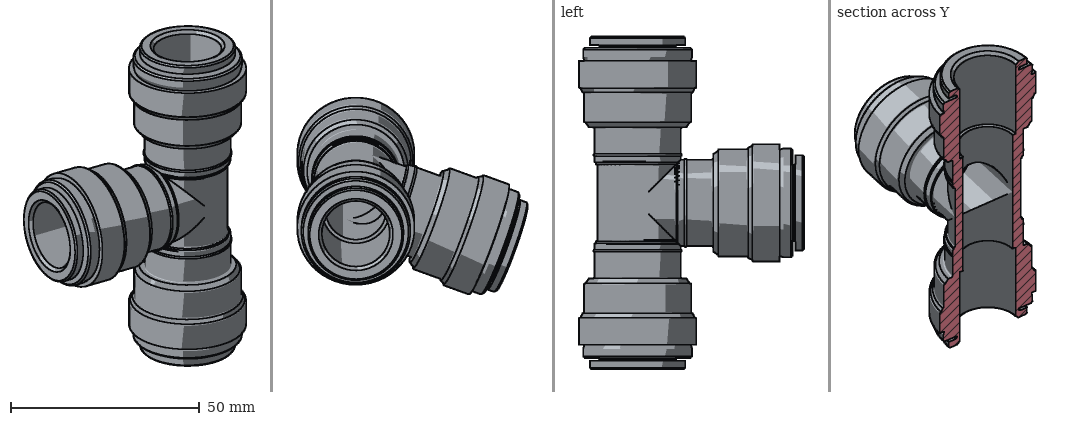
import math

import cadquery as cq

REACH = 44.1

FLANGE_RADIUS = 25.3 / 2
FLANGE_THICKNESS = 2.3
FLANGE_CHAMFER = 0.45
COLLAR_NECK_RADIUS = 20.8 / 2
COLLAR_ROOT_RADIUS = 20.07 / 2
COLLAR_CONE_END = 2.7

CAP_RADIUS = 28.9 / 2
CAP_START = 3.0
CAP_END = 5.45
CAP_CHAMFER = 0.5
GROOVE_RADIUS = 28.3 / 2

BAND_RADIUS = 31.1 / 2
BAND_START = 6.5
BAND_END = 13.7
BARREL_RADIUS = 28.5 / 2
BARREL_START = 15.2
BARREL_END = 22.75
NECK_RADIUS = 22.9 / 2
NECK_START = 24.5

BEAD_RADIUS = 23.4 / 2
BEAD_START = 31.1
BEAD_END = 31.7
NECK_END = 33.4
PIPE_RADIUS = 21.3 / 2
PIPE_START = 34.3

EDGE_ROUND = 0.3
EDGE_LEDGE = 0.1
FOOT_FILLET = 0.38
CONE_ANGLE = 35.0

BORE_RADIUS = 16.0 / 2
TUBE_RADIUS = 18.0 / 2
TUBE_DEPTH = NECK_START
MOUTH_RADIUS = 19.7 / 2
MOUTH_DEPTH = MOUTH_RADIUS - TUBE_RADIUS

DIRECTIONS = [(0, 0, 1), (0, 0, -1), (0, -1, 0)]


def socket_section(direction):
    """Sketch plane through a socket axis: x is the radius, y points outward, origin on the end face."""
    outward = cq.Vector(*direction)
    sideways = cq.Vector(1, 0, 0)
    plane = cq.Plane(origin=outward * REACH, xDir=sideways, normal=sideways.cross(outward))
    return cq.Workplane(plane)


def revolve_section(section):
    """Close a socket section and turn it about the socket axis."""
    return section.close().revolve(360, (0, 0), (0, 1))


def add_lines(section, points):
    """Continue a section through straight (radius, depth) points."""
    for radius, depth in points:
        section = section.lineTo(radius, -depth)
    return section


def add_step(section, radius, end, foot_radius, foot_start):
    """Step down to a smaller radius: rounded edge, narrow ledge, cone, flat shoulder and filleted foot."""
    bulge = 1 - math.sqrt(0.5)
    edge_radius = radius - EDGE_ROUND
    shoulder_radius = foot_radius + FOOT_FILLET
    shoulder_depth = foot_start - FOOT_FILLET
    cone_start = edge_radius - EDGE_LEDGE
    cone_drop = (shoulder_depth - end) * math.tan(math.radians(CONE_ANGLE))
    cone_radius = max(shoulder_radius, cone_start - cone_drop)

    section = section.lineTo(radius, EDGE_ROUND - end)
    section = section.threePointArc(
        (radius - bulge * EDGE_ROUND, bulge * EDGE_ROUND - end),
        (edge_radius, -end),
    )
    section = section.lineTo(cone_start, -end)
    section = section.lineTo(cone_radius, -shoulder_depth)
    if cone_radius > shoulder_radius:
        section = section.lineTo(shoulder_radius, -shoulder_depth)
    return section.threePointArc(
        (foot_radius + bulge * FOOT_FILLET, -shoulder_depth - bulge * FOOT_FILLET),
        (foot_radius, -foot_start),
    )


def add_bead(section):
    """Half-round bead standing on the neck."""
    section = section.lineTo(NECK_RADIUS, -BEAD_START)
    return section.threePointArc(
        (BEAD_RADIUS, -(BEAD_START + BEAD_END) / 2),
        (NECK_RADIUS, -BEAD_END),
    )


def socket_outside(direction):
    """Solid socket from the end face down to the tee centre."""
    collar_and_cap = [
        (FLANGE_RADIUS - FLANGE_CHAMFER, 0),
        (FLANGE_RADIUS, FLANGE_CHAMFER),
        (FLANGE_RADIUS, FLANGE_THICKNESS),
        (COLLAR_NECK_RADIUS, FLANGE_THICKNESS),
        (COLLAR_ROOT_RADIUS, COLLAR_CONE_END),
        (COLLAR_ROOT_RADIUS, CAP_START),
        (CAP_RADIUS - CAP_CHAMFER, CAP_START),
        (CAP_RADIUS, CAP_START + CAP_CHAMFER),
        (CAP_RADIUS, CAP_END),
        (GROOVE_RADIUS, BAND_START),
        (BAND_RADIUS, BAND_START),
    ]
    section = add_lines(socket_section(direction), collar_and_cap)
    section = add_step(section, BAND_RADIUS, BAND_END, BARREL_RADIUS, BARREL_START)
    section = add_step(section, BARREL_RADIUS, BARREL_END, NECK_RADIUS, NECK_START)
    section = add_bead(section)
    section = add_step(section, NECK_RADIUS, NECK_END, PIPE_RADIUS, PIPE_START)
    section = add_lines(section, [(PIPE_RADIUS, REACH), (0, REACH)])
    return revolve_section(section)


def socket_bore(direction):
    """Flared mouth, tube seat and narrower flow passage down to the tee centre."""
    bore = [
        (MOUTH_RADIUS, 0),
        (TUBE_RADIUS, MOUTH_DEPTH),
        (TUBE_RADIUS, TUBE_DEPTH),
        (BORE_RADIUS, TUBE_DEPTH),
        (BORE_RADIUS, REACH),
        (0, REACH),
    ]
    return revolve_section(add_lines(socket_section(direction), bore))


result = socket_outside(DIRECTIONS[0])
for facing in DIRECTIONS[1:]:
    result = result.union(socket_outside(facing))
for facing in DIRECTIONS:
    result = result.cut(socket_bore(facing))